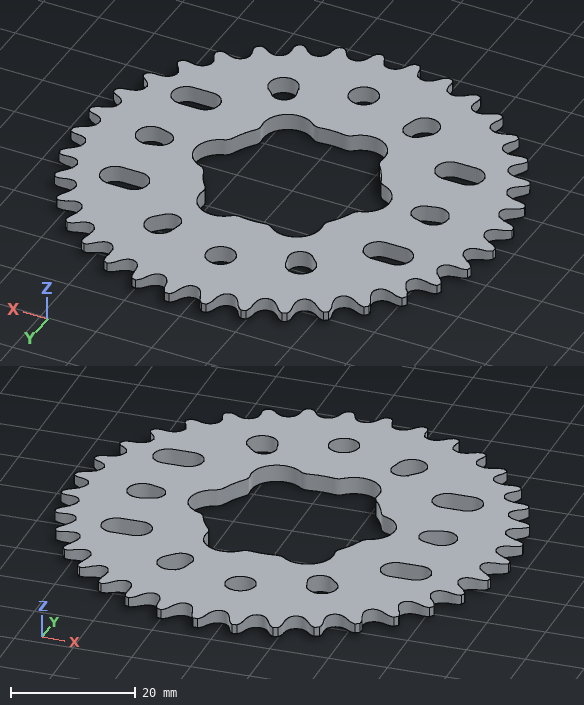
import cadquery as cq
import math

thickness = 3.0
tip_extent = 38.1

tooth_count = 36
tooth_pitch = 360 / tooth_count
pitch_radius = 36.4
seat_radius = 1.7
seat_half_angle = 53.3
flank_radius = 4.35
flank_sweep = 16.4
tip_centre_distance = 4.65

flat_radius = 31.45
edge_thickness = 1.7
blank_margin = 0.75

bolt_circle_radius = 25.45
bolt_hole_radius = 2.5
taper_circle_radius = 23.7
taper_end_radius = 2.05
taper_angles = (0, 60, 120, 180, 240, 300)
round_angles = (90, 270)
slot_angles = (30, 150, 210, 330)

bore_radius = 14.3
lobe_count = 6
lobe_radius = 4.35
lobe_circle_radius = 13.1
lobe_corner_round = 1.8

tolerance = 0.01


def polar(radius, angle):
    """Point at a distance from the centre, with the angle in degrees."""
    return (radius * math.cos(math.radians(angle)), radius * math.sin(math.radians(angle)))


def shifted(point, distance, angle):
    """Point moved by a distance in the direction of the angle."""
    step = polar(distance, angle)
    return (point[0] + step[0], point[1] + step[1])


def mirrored(point):
    """Mirror image across the X axis, the middle of the first seat."""
    return (point[0], -point[1])


def turned(point, angle):
    """Point turned about the centre."""
    return polar(math.hypot(*point), math.degrees(math.atan2(point[1], point[0])) + angle)


def tooth_outline():
    """Closed rim outline: seat, concave flank, short straight and convex tip arc on each side."""
    half_pitch = tooth_pitch / 2
    roller = (pitch_radius, 0)
    seat_bottom = (pitch_radius - seat_radius, 0)

    seat_normal = 180 - seat_half_angle
    seat_end = shifted(roller, seat_radius, seat_normal)
    flank_centre = shifted(seat_end, -flank_radius, seat_normal)
    flank_normal = seat_normal - flank_sweep
    flank_middle = shifted(flank_centre, flank_radius, (seat_normal + flank_normal) / 2)
    flank_end = shifted(flank_centre, flank_radius, flank_normal)

    tip_centre = shifted(roller, tip_centre_distance, 90 + half_pitch)
    to_tip = (tip_centre[0] - flank_end[0], tip_centre[1] - flank_end[1])
    normal_step = polar(1, flank_normal)
    tip_arc_radius = to_tip[0] * normal_step[0] + to_tip[1] * normal_step[1]
    tip_start = shifted(tip_centre, -tip_arc_radius, flank_normal)

    corner_angle = -math.degrees(math.acos((tip_extent - tip_centre[0]) / tip_arc_radius))
    tip_middle = shifted(tip_centre, tip_arc_radius, (flank_normal - 180 + corner_angle) / 2)
    tip_corner = shifted(tip_centre, tip_arc_radius, corner_angle)
    tip_top = polar(math.hypot(*tip_corner), half_pitch)

    outline = cq.Workplane("XY").moveTo(*mirrored(seat_end))
    for index in range(tooth_count):
        turn = index * tooth_pitch
        next_turn = turn + tooth_pitch
        outline = (
            outline.threePointArc(turned(seat_bottom, turn), turned(seat_end, turn))
            .threePointArc(turned(flank_middle, turn), turned(flank_end, turn))
            .lineTo(*turned(tip_start, turn))
            .threePointArc(turned(tip_middle, turn), turned(tip_corner, turn))
            .threePointArc(turned(tip_top, turn), turned(mirrored(tip_corner), next_turn))
            .threePointArc(
                turned(mirrored(tip_middle), next_turn), turned(mirrored(tip_start), next_turn)
            )
            .lineTo(*turned(mirrored(flank_end), next_turn))
            .threePointArc(
                turned(mirrored(flank_middle), next_turn), turned(mirrored(seat_end), next_turn)
            )
        )
    return outline.close()


def thinned_disc():
    """Disc, flat inside flat_radius and conical on both faces outside it."""
    slope = (thickness - edge_thickness) / 2 / (tip_extent - flat_radius)
    outer_radius = tip_extent + blank_margin
    half_flat = thickness / 2
    half_edge = half_flat - slope * (outer_radius - flat_radius)
    return (
        cq.Workplane("XZ")
        .moveTo(0, -half_flat)
        .lineTo(flat_radius, -half_flat)
        .lineTo(outer_radius, -half_edge)
        .lineTo(outer_radius, half_edge)
        .lineTo(flat_radius, half_flat)
        .lineTo(0, half_flat)
        .close()
        .revolve(360, (0, 0, 0), (0, 1, 0))
    )


def through(outline):
    """Outline extruded over the full thickness, centred on Z = 0."""
    return outline.extrude(thickness / 2, both=True)


def is_lobe_corner(edge):
    """True for the edges where a lobe meets the bore."""
    middle = edge.Center()
    return abs(math.hypot(middle.x, middle.y) - bore_radius) < tolerance


def lobed_bore():
    """Round bore with lobes around it, the corners between them rounded."""
    bore = through(cq.Workplane("XY").circle(bore_radius))
    lobes = through(
        cq.Workplane("XY").polarArray(lobe_circle_radius, 0, 360, lobe_count).circle(lobe_radius)
    )
    corners = bore.union(lobes).edges("|Z").filter(is_lobe_corner)
    return corners.fillet(lobe_corner_round)


def tapered_hole(angle):
    """Hole narrowing towards the centre, with both ends round and the sides tangent."""
    length = bolt_circle_radius - taper_circle_radius
    normal = math.degrees(math.acos((taper_end_radius - bolt_hole_radius) / length))
    outer = (bolt_circle_radius, 0)
    inner = (taper_circle_radius, 0)
    outline = (
        cq.Workplane("XY")
        .moveTo(*shifted(outer, bolt_hole_radius, -normal))
        .threePointArc(shifted(outer, bolt_hole_radius, 0), shifted(outer, bolt_hole_radius, normal))
        .lineTo(*shifted(inner, taper_end_radius, normal))
        .threePointArc(shifted(inner, taper_end_radius, 180), shifted(inner, taper_end_radius, -normal))
        .close()
    )
    return through(outline).rotate((0, 0, 0), (0, 0, 1), angle)


def round_hole(angle):
    centre = polar(bolt_circle_radius, angle)
    return through(cq.Workplane("XY").center(*centre).circle(bolt_hole_radius))


def slot(angle):
    """Slot along X from the bolt hole position out to x = bolt_circle_radius."""
    inner_x, y = polar(bolt_circle_radius, angle)
    outer_x = math.copysign(bolt_circle_radius, inner_x)
    centre_distance = abs(outer_x - inner_x)
    outline = (
        cq.Workplane("XY")
        .center((inner_x + outer_x) / 2, y)
        .slot2D(centre_distance + 2 * bolt_hole_radius, 2 * bolt_hole_radius)
    )
    return through(outline)


sprocket = through(tooth_outline()).intersect(thinned_disc()).cut(lobed_bore())
for hole, angles in (
    (tapered_hole, taper_angles),
    (round_hole, round_angles),
    (slot, slot_angles),
):
    for angle in angles:
        sprocket = sprocket.cut(hole(angle))

result = sprocket